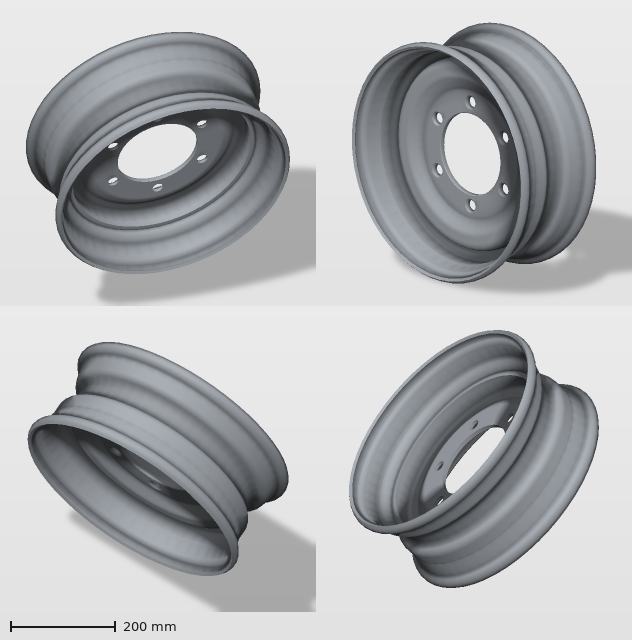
import cadquery as cq
import math


wheel_diameter = 470.5
rim_width = 202.5
rim_sheet = 6.0
bead_radius = 13.0
bead_offset = 89.5
bead_lip_angle = 129.0
bead_root_radius = 6.5
seat_slope = 15.0
ledge_diameter = 428.0
ledge_start = -44.5
ledge_end = -22.0
well_diameter = 390.5
well_start = 5.0
well_end = 23.5

disc_thickness = 10.0
disc_bend_radius = 17.0
hub_bend_radius = 8.5
hub_face = -10.5
dish_slope = 30.0
hub_flat_radius = 125.5
crown_inner_radius = 159.0
bore_diameter = 161.0
bore_chamfer = 1.5
bolt_count = 6
bolt_circle_radius = 103.0
bolt_hole_diameter = 21.5
countersink_diameter = 28.2
countersink_angle = 90.0

coincident = 4.71e-06


def polar(centre, radius, angle):
    """Point at an angle in degrees from the +X direction."""
    a = math.radians(angle)
    return (centre[0] + radius * math.cos(a), centre[1] + radius * math.sin(a))


def direction(start, end):
    """Angle in degrees of the line from one point to another."""
    return math.degrees(math.atan2(end[1] - start[1], end[0] - start[0]))


def bend(centre, radius, start, end):
    """Arc as its start, middle and end points."""
    return [polar(centre, radius, a) for a in (start, (start + end) / 2, end)]


def mirrored(points):
    """Reflect a run of points in the middle plane, keeping it running towards +X."""
    return [(-x, r) for x, r in reversed(points)]


def seat_height(point):
    """Distance of a point above the sloping seat line on the -X side."""
    slope = math.radians(seat_slope)
    rise = point[1] - ledge_diameter / 2
    return rise * math.cos(slope) + (point[0] - ledge_start) * math.sin(slope)


def tangent_centre(centre, spacing, height, side):
    """Centre at a given spacing from another centre and a given height above the seat."""
    climb = height - seat_height(centre)
    along = side * math.sqrt(spacing**2 - climb**2)
    foot = polar(centre, climb, 90 - seat_slope)
    return polar(foot, along, -seat_slope)


def rim_side(depth):
    """Runs of points along the rim sheet, at a depth below its outer surface."""
    bead_centre = (-bead_offset, wheel_diameter / 2 - bead_radius)
    root_centre = tangent_centre(bead_centre, bead_radius + bead_root_radius, bead_root_radius, 1)
    bead_end = direction(bead_centre, root_centre)
    lip_base = polar(bead_centre, bead_radius, bead_lip_angle)
    lip_length = (lip_base[0] + rim_width / 2) / math.sin(math.radians(bead_lip_angle))
    lip_tip = polar(lip_base, lip_length, bead_lip_angle + 90)
    lip = polar(lip_tip, -depth, bead_lip_angle)
    bead = bend(bead_centre, bead_radius - depth, bead_lip_angle, bead_end)
    root = bend(root_centre, bead_root_radius + depth, bead_end + 180, 270 - seat_slope)

    ledge_radius = ledge_diameter / 2
    well_radius = well_diameter / 2
    run = well_start - ledge_end
    drop = ledge_radius - well_radius
    turn = 2 * math.degrees(math.atan(drop / run))
    well_bend = run / 2 / math.sin(math.radians(turn))
    foot = polar((ledge_start, ledge_radius), -depth / math.cos(math.radians(seat_slope / 2)),
                 90 - seat_slope / 2)
    shoulder = bend((ledge_end, ledge_radius - well_bend), well_bend - depth, 90, 90 - turn)
    entry = bend((well_start, well_radius + well_bend), well_bend + depth, 270 - turn, 270)

    exit_centre = (-well_end, well_radius + well_bend)
    crest_centre = tangent_centre(exit_centre, 2 * well_bend, -well_bend, -1)
    wall_angle = direction(crest_centre, exit_centre)
    crest = bend(crest_centre, well_bend - depth, 90 - seat_slope, wall_angle)
    leave = bend(exit_centre, well_bend + depth, wall_angle + 180, 270)

    near_half = [[lip], bead, root, [foot], shoulder, entry]
    far_half = [[lip], bead, root, crest, leave]
    return near_half + [mirrored(points) for points in reversed(far_half)]


def disc_side(depth):
    """Runs of points along the disc, at a depth below its face on the -X side."""
    slope = math.radians(dish_slope)
    fillet_run = (hub_bend_radius + disc_bend_radius) * math.sin(slope)
    fillet_rise = (hub_bend_radius + disc_bend_radius) * (1 - math.cos(slope))
    cone_run = crown_inner_radius - hub_flat_radius - fillet_run
    crown_face = hub_face - fillet_rise - cone_run * math.tan(slope)
    flange_radius = well_diameter / 2 - rim_sheet
    bore = (hub_face + depth, bore_diameter / 2)
    hub_bend = bend((hub_face - hub_bend_radius, hub_flat_radius), hub_bend_radius + depth, 0, dish_slope)
    crown_centre = (crown_face + disc_bend_radius, crown_inner_radius)
    crown_bend = bend(crown_centre, disc_bend_radius - depth, 180 + dish_slope, 180)
    flange_centre = (crown_face + disc_bend_radius, flange_radius - disc_bend_radius)
    flange_bend = bend(flange_centre, disc_bend_radius - depth, 180, 90)
    flange_end = (well_end, flange_radius - depth)
    return [[bore], hub_bend, crown_bend, flange_bend, [flange_end]]


def revolved_sheet(face, back):
    """Turn the closed section between two sides about the X axis."""
    runs = face + [points[::-1] for points in reversed(back)]
    position = runs[0][0]
    section = cq.Workplane("XY").moveTo(*position)
    for points in runs[1:]:
        if math.dist(position, points[0]) > coincident:
            section = section.lineTo(*points[0])
        if len(points) == 3:
            section = section.threePointArc(points[1], points[2])
        position = points[-1]
    return section.close().revolve(360, (0, 0, 0), (1, 0, 0))


def make_rim():
    return revolved_sheet(rim_side(0), rim_side(rim_sheet))


def make_disc():
    disc = revolved_sheet(disc_side(0), disc_side(disc_thickness))
    disc = disc.cut(bore_chamfer_cutter())
    cutter = bolt_hole_cutter()
    for i in range(bolt_count):
        disc = disc.cut(cutter.rotate((0, 0, 0), (1, 0, 0), i * 360 / bolt_count))
    return disc.solids()


def bore_chamfer_cutter():
    """Cone that breaks the bore edge on the hub face."""
    bore_radius = bore_diameter / 2
    outline = [(0, 0), (0, bore_radius + bore_chamfer), (bore_chamfer, bore_radius), (bore_chamfer, 0)]
    cone = cq.Workplane("XY").polyline(outline).close().revolve(360, (0, 0, 0), (1, 0, 0))
    return cone.translate((hub_face, 0, 0))


def bolt_hole_cutter():
    """Countersunk bolt hole through the hub plate, straight above the axis."""
    hole_radius = bolt_hole_diameter / 2
    sink_radius = countersink_diameter / 2
    sink_depth = (sink_radius - hole_radius) / math.tan(math.radians(countersink_angle / 2))
    outline = [(0, 0), (0, sink_radius), (sink_depth, hole_radius),
               (disc_thickness, hole_radius), (disc_thickness, 0)]
    cutter = cq.Workplane("XY").polyline(outline).close().revolve(360, (0, 0, 0), (1, 0, 0))
    return cutter.translate((hub_face, 0, bolt_circle_radius))


rim = make_rim()
disc = make_disc()

result = cq.Compound.makeCompound([rim.val(), disc.val()])